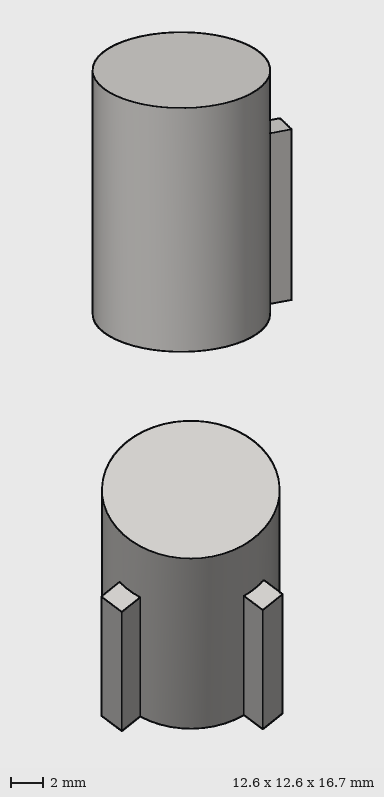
import cadquery as cq

body_diameter = 11.0
body_height = 16.68
body_radius = body_diameter / 2

key_width = 1.77
key_height = 11.68
overall_width = 12.55
key_reach = overall_width - body_radius
key_directions = (90, 180)


def make_key(direction):
    """Square-edged key from the axis outwards, turned to the given direction."""
    return (
        cq.Workplane("XY")
        .box(key_reach, key_width, key_height, centered=(False, True, False))
        .rotate((0, 0, 0), (0, 0, 1), direction)
    )


result = cq.Workplane("XY").circle(body_radius).extrude(body_height)
for key_direction in key_directions:
    result = result.union(make_key(key_direction))